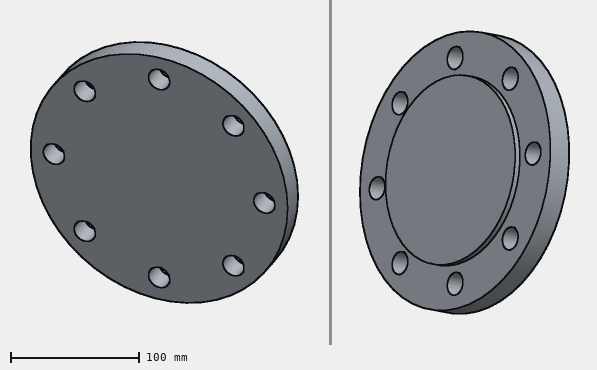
import cadquery as cq

flange_diameter = 220.0
overall_thickness = 25.0
raised_face_diameter = 149.5
raised_face_height = 5.0
bolt_circle_diameter = 180.0
bolt_hole_diameter = 18.0
bolt_hole_count = 8

flange_thickness = overall_thickness - raised_face_height


def disc(diameter, thickness, start_y):
    """Disc about the Y axis, growing toward +Y from start_y."""
    return (
        cq.Workplane("XZ", origin=(0, start_y, 0))
        .circle(diameter / 2)
        .extrude(-thickness)
    )


def bolt_holes():
    """Ring of cylinders through the flange, the first one on the X axis."""
    return (
        cq.Workplane("XZ")
        .polarArray(bolt_circle_diameter / 2, 0, 360, bolt_hole_count)
        .circle(bolt_hole_diameter / 2)
        .extrude(-flange_thickness)
    )


flange = disc(flange_diameter, flange_thickness, 0)
raised_face = disc(raised_face_diameter, raised_face_height, flange_thickness)

result = flange.union(raised_face).cut(bolt_holes())